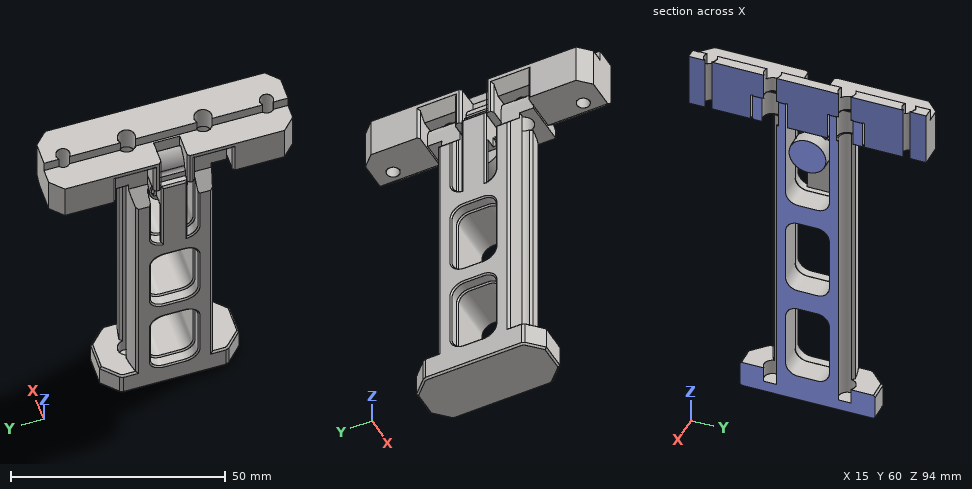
import cadquery as cq
import math

depth = 15.0
back = depth / 2
front = -back
total_height = 94.0
edge_chamfer = 0.5
over = 0.9

head_bottom = 80.0
pivot_z = 83.1
lug_radius = 3.95
lug_inner = 5.45
lug_outer = 13.9
lug_top = pivot_z + lug_radius
lug_rear_height = 82.4
lug_rear_flat = back - (lug_top - lug_rear_height)

rod_y = 9.4
rod_diameter = 4.2
latch_half_width = 3.2
slot_back = -1.5

head_length = 60.0
head_corner = 3.0
step_x = -1.0
step_z = 91.0
rear_bevel = 4.7
screw_diameter = 3.3
screw_y = 25.0
pocket_clearance = 0.4
pocket_mouth_top = 89.8
mouth_chamfer = 0.6

foot_length = 34.2
foot_height = 7.0
foot_corner = 4.0

column_corner_y = 9.3
column_middle_y = 10.5
groove_half_width = 2.9
groove_lip = 0.9
bore_bottom = 3.0
lug_bore_diameter = 5.0

window_half_width = 5.45
window_height = 19.8
window_bottom = 7.05
window_pitch = 25.4
window_radius = 3.0
recess_margin = 0.4
recess_depth = 3.0
recess_lip = 0.4

shoulder_top = 78.4
shoulder_z = 74.4

spring_thickness = 1.2
latch_root = 56.4
latch_thick_bottom = 72.3
latch_back = slot_back - 0.6
latch_ledge_z = 80.65
latch_nose_x = -5.8
latch_nose_z = 82.6
latch_nose_hollow = 0.235
latch_radius = 5.3
latch_arc_start_z = 83.9
button_radius = 4.7
button_z = 72.9
button_front = -2.8
pad_radius = 4.2
pad_height = 0.8
pad_draft = 20.0


def bar_along_y(outline, y_start, y_end):
    """Prism of an XZ outline between two Y positions."""
    face = cq.Face.makeFromWires(outline.val())
    bar = cq.Solid.extrudeLinear(face, cq.Vector(0, y_end - y_start, 0))
    return cq.Workplane(bar.translate(cq.Vector(0, y_start, 0)))


def rounded_block(x_start, x_end, half_width, bottom, top, radius):
    """Block along X with rounded long edges."""
    block = cq.Workplane("XY").box(x_end - x_start, 2 * half_width, top - bottom, centered=(False, True, False))
    return block.translate((x_start, 0, bottom)).edges("|X").fillet(radius)


def octagon_block(length, corner, bottom, top):
    """Upright block with 45 degree corners."""
    block = cq.Workplane("XY").box(depth, length, top - bottom, centered=(True, True, False))
    return block.translate((0, 0, bottom)).edges("|Z").chamfer(corner)


def upright_cylinder(diameter, y, bottom, top):
    return cq.Workplane("XY", origin=(0, y, bottom)).circle(diameter / 2).extrude(top - bottom)


def column():
    """Upright with bulging sides, standing in the foot and reaching the head."""
    return (
        cq.Workplane("XY")
        .moveTo(front, -column_corner_y)
        .threePointArc((0, -column_middle_y), (back, -column_corner_y))
        .lineTo(back, column_corner_y)
        .threePointArc((0, column_middle_y), (front, column_corner_y))
        .close()
        .extrude(head_bottom)
    )


def foot_and_column():
    """Foot and column with bevelled front and rear outlines and foot rims."""
    blank = octagon_block(foot_length, foot_corner, 0, foot_height).union(column())
    half = foot_length / 2
    rim = cq.selectors.BoxSelector(
        (front - over, -half - over, foot_height - 0.1), (back + over, -column_middle_y, foot_height + 0.1)
    ) + cq.selectors.BoxSelector(
        (front - over, column_middle_y, foot_height - 0.1), (back + over, half + over, foot_height + 0.1)
    )
    faces = blank.faces("<X or >X").edges("not(>Z)").vals() + blank.faces("<Z").edges().vals()
    rims = blank.edges(rim).vals()
    edges = []
    for edge in faces + rims:
        if not any(edge.isSame(other) for other in edges):
            edges.append(edge)
    return blank.newObject(edges).chamfer(edge_chamfer)


def window(bottom, top):
    """Opening through the column with a wider, bevelled recess at the front."""
    half = window_half_width
    cutter = rounded_block(front - over, back + over, half, bottom, top, window_radius)
    rims = (
        (front + recess_depth, recess_margin),
        (front + recess_lip, recess_margin + recess_lip),
    )
    for x_end, margin in rims:
        rim = rounded_block(
            front - over, x_end, half + margin, bottom - margin, top + margin, window_radius + margin
        )
        cutter = cutter.union(rim.faces(">X").chamfer(recess_lip))
    return cutter


def shoulder_cut():
    """Takes the front off the post tops, leaving a sloping shoulder."""
    lug_front = -lug_radius
    outline = (
        cq.Workplane("XZ")
        .moveTo(front - over, shoulder_z)
        .lineTo(front, shoulder_z)
        .lineTo(lug_front, shoulder_top)
        .lineTo(lug_front, head_bottom + over)
        .lineTo(front - over, head_bottom + over)
        .close()
    )
    return bar_along_y(outline, -column_middle_y, column_middle_y)


def lug(side):
    """Round-nosed lug on top of one post."""
    quarter = math.sqrt(0.5) * lug_radius
    outline = (
        cq.Workplane("XZ")
        .moveTo(-lug_radius, head_bottom)
        .lineTo(-lug_radius, pivot_z)
        .threePointArc((-quarter, pivot_z + quarter), (0, lug_top))
        .lineTo(lug_rear_flat, lug_top)
        .lineTo(back, lug_rear_height)
        .lineTo(back, head_bottom)
        .close()
    )
    ends = sorted((side * lug_inner, side * lug_outer))
    return bar_along_y(outline, *ends)


def rod_groove(side):
    """Rod bore through one lug and down the column side into the foot, open to the outside
    through a flared mouth."""
    bore = upright_cylinder(rod_diameter, side * rod_y, bore_bottom, head_bottom)
    lip_x = groove_half_width - groove_lip
    rim_y = column_middle_y
    mouth = (
        cq.Workplane("XY", origin=(0, 0, foot_height))
        .polyline([
            (-lip_x, side * rod_y),
            (-lip_x, side * (rim_y - groove_lip)),
            (-groove_half_width, side * rim_y),
            (groove_half_width, side * rim_y),
            (lip_x, side * (rim_y - groove_lip)),
            (lip_x, side * rod_y),
        ])
        .close()
        .extrude(head_bottom - foot_height)
    )
    lug_bore = upright_cylinder(lug_bore_diameter, side * rod_y, head_bottom, lug_top)
    return bore.union(mouth).union(lug_bore)


def latch():
    """Spring tongue with a thick hooked end and a round button behind it."""
    spring_back = front + spring_thickness
    arc_start = -math.sqrt(latch_radius**2 - (latch_arc_start_z - pivot_z) ** 2)
    arc_end_z = pivot_z + math.sqrt(latch_radius**2 - latch_back**2)
    quarter = math.sqrt(0.5) * latch_radius
    outline = (
        cq.Workplane("XZ")
        .moveTo(front, latch_root)
        .lineTo(front, latch_ledge_z - edge_chamfer)
        .lineTo(front + edge_chamfer, latch_ledge_z)
        .lineTo(latch_nose_x, latch_ledge_z)
        .lineTo(latch_nose_x, latch_nose_z)
        .sagittaArc((arc_start, latch_arc_start_z), -latch_nose_hollow)
        .threePointArc((-quarter, pivot_z + quarter), (latch_back, arc_end_z))
        .lineTo(latch_back, latch_thick_bottom)
        .lineTo(spring_back, latch_thick_bottom)
        .lineTo(spring_back, latch_root)
        .close()
    )
    tongue = bar_along_y(outline, -latch_half_width, latch_half_width)
    tongue = tongue.faces("<X").edges("|Z").chamfer(edge_chamfer)
    button = (
        cq.Workplane("YZ", origin=(button_front, 0, button_z)).circle(button_radius).extrude(back - button_front)
    )
    pad = cq.Workplane("YZ", origin=(button_front, 0, button_z)).circle(pad_radius).extrude(-pad_height, taper=pad_draft)
    below = cq.Workplane("XY", origin=(button_front, 0, latch_thick_bottom)).box(
        2 * pad_height, 2 * pad_radius, button_radius, centered=(True, True, False)
    ).translate((0, 0, -button_radius))
    pad = pad.cut(below)
    return tongue.union(button).union(pad)


def make_stem():
    stem = foot_and_column()
    for row in range(2):
        bottom = window_bottom + row * window_pitch
        stem = stem.cut(window(bottom, bottom + window_height))
    stem = stem.cut(window(window_bottom + 2 * window_pitch, total_height))
    stem = stem.cut(shoulder_cut())
    for side in (-1, 1):
        stem = stem.union(lug(side)).cut(rod_groove(side))
    return stem.union(latch())


def step_cut():
    cutter = cq.Workplane("XY").box(
        step_x - front + over, head_length + 2 * over, total_height - step_z + over, centered=(False, True, False)
    )
    return cutter.translate((front - over, 0, step_z))


def rear_bevel_cut():
    outline = cq.Workplane("XZ").polyline([
        (back - rear_bevel, head_bottom),
        (back, head_bottom + rear_bevel),
        (back, head_bottom),
    ]).close()
    return bar_along_y(outline, -head_length / 2, head_length / 2)


def flared_mouth(y_start, y_end, top):
    """45 degree flare on both sides of a front opening."""
    return (
        cq.Workplane("XY", origin=(0, 0, head_bottom))
        .polyline([
            (front, y_start - mouth_chamfer),
            (front + mouth_chamfer, y_start),
            (front + mouth_chamfer, y_end),
            (front, y_end + mouth_chamfer),
        ])
        .close()
        .extrude(top - head_bottom)
    )


def lug_pocket(side):
    """Pocket for one lug, with a ceiling that falls at 45 degrees from the front opening."""
    outline = cq.Workplane("XZ").polyline([
        (front, head_bottom),
        (front, pocket_mouth_top),
        (front + pocket_mouth_top - lug_top, lug_top),
        (lug_rear_flat, lug_top),
        (back, lug_rear_height),
        (back, head_bottom),
    ]).close()
    start, end = sorted((side * (lug_inner - pocket_clearance), side * (lug_outer + pocket_clearance)))
    mouth = flared_mouth(start, end, pocket_mouth_top)
    mouth = mouth.intersect(bar_along_y(outline, start - mouth_chamfer, end + mouth_chamfer))
    return bar_along_y(outline, start, end).union(mouth)


def latch_slot():
    slot = cq.Workplane("XY").box(
        slot_back - front, 2 * latch_half_width, step_z - head_bottom, centered=(False, True, False)
    )
    slot = slot.translate((front, 0, head_bottom))
    return slot.union(flared_mouth(-latch_half_width, latch_half_width, step_z))


def make_head():
    head = octagon_block(head_length, head_corner, head_bottom, total_height)
    head = head.cut(step_cut()).cut(rear_bevel_cut()).cut(latch_slot())
    for side in (-1, 1):
        head = head.cut(lug_pocket(side))
        head = head.cut(upright_cylinder(rod_diameter, side * rod_y, head_bottom, total_height))
        head = head.cut(upright_cylinder(screw_diameter, side * screw_y, head_bottom, total_height))
    return head


stem = make_stem()
head = make_head()
result = cq.Compound.makeCompound([stem.val(), head.val()])